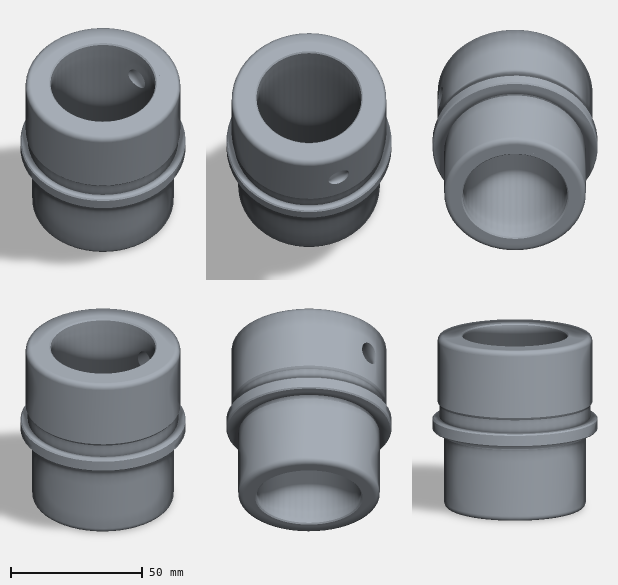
import cadquery as cq
import math


total_height = 67.0
flange_bottom = 30.0
flange_thickness = 5.0
flange_top = flange_bottom + flange_thickness
neck_height = 5.0
neck_top = flange_top + neck_height

spigot_radius = 54.0 / 2
flange_radius = 63.0 / 2
neck_radius = 57.5 / 2
head_radius = 59.0 / 2

end_fillet = 2.0
flange_chamfer = 0.5
head_chamfer_height = 1.0

undercut_height = 2.0
undercut_arc_radius = 3.0

liner_outer_radius = 44.0 / 2
bore_radius = 40.0 / 2
bore_chamfer = 0.5

cross_hole_radius = 8.5 / 2
cross_hole_height = 53.0


def arc_point(center, radius, angle_degrees):
    """Point on an arc in the radius-height plane, its angle measured from the radial direction."""
    angle = math.radians(angle_degrees)
    return (center[0] + radius * math.cos(angle), center[1] + radius * math.sin(angle))


def revolve_about_axis(profile):
    """Turn a radius-height outline in the XZ plane into a full ring about Z."""
    return profile.close().revolve(360, (0, 0, 0), (0, 1, 0))


def make_cross_hole():
    """Cylinder along +Y that starts on the axis and passes out through the wall."""
    return (
        cq.Workplane("XZ", origin=(0, 0, cross_hole_height))
        .circle(cross_hole_radius)
        .extrude(-flange_radius)
    )


def make_housing():
    """Spigot, flange, neck and head turned in one piece, bored for the liner."""
    bottom_fillet_center = (spigot_radius - end_fillet, end_fillet)
    top_fillet_center = (head_radius - end_fillet, total_height - end_fillet)

    undercut_angle = math.degrees(math.asin(undercut_height / undercut_arc_radius))
    undercut_depth = undercut_arc_radius * (1 - math.cos(math.radians(undercut_angle)))
    undercut_radius = spigot_radius - undercut_depth
    undercut_center = (undercut_radius + undercut_arc_radius, flange_bottom)

    profile = (
        cq.Workplane("XZ")
        .moveTo(liner_outer_radius, 0)
        .lineTo(spigot_radius - end_fillet, 0)
        .threePointArc(arc_point(bottom_fillet_center, end_fillet, -45), (spigot_radius, end_fillet))
        .lineTo(spigot_radius, flange_bottom - undercut_height)
        .threePointArc(
            arc_point(undercut_center, undercut_arc_radius, 180 + undercut_angle / 2),
            (undercut_radius, flange_bottom),
        )
        .lineTo(flange_radius - flange_chamfer, flange_bottom)
        .lineTo(flange_radius, flange_bottom + flange_chamfer)
        .lineTo(flange_radius, flange_top - flange_chamfer)
        .lineTo(flange_radius - flange_chamfer, flange_top)
        .lineTo(neck_radius, flange_top)
        .lineTo(neck_radius, neck_top)
        .lineTo(head_radius, neck_top + head_chamfer_height)
        .lineTo(head_radius, total_height - end_fillet)
        .threePointArc(
            arc_point(top_fillet_center, end_fillet, 45),
            (head_radius - end_fillet, total_height),
        )
        .lineTo(liner_outer_radius, total_height)
    )
    return revolve_about_axis(profile).cut(make_cross_hole())


def make_liner():
    """Thin sleeve filling the housing bore, chamfered at both ends of its own bore."""
    profile = (
        cq.Workplane("XZ")
        .moveTo(bore_radius + bore_chamfer, 0)
        .lineTo(liner_outer_radius, 0)
        .lineTo(liner_outer_radius, total_height)
        .lineTo(bore_radius + bore_chamfer, total_height)
        .lineTo(bore_radius, total_height - bore_chamfer)
        .lineTo(bore_radius, bore_chamfer)
    )
    return revolve_about_axis(profile).cut(make_cross_hole())


housing = make_housing()
liner = make_liner()

result = cq.Compound.makeCompound([housing.val(), liner.val()])